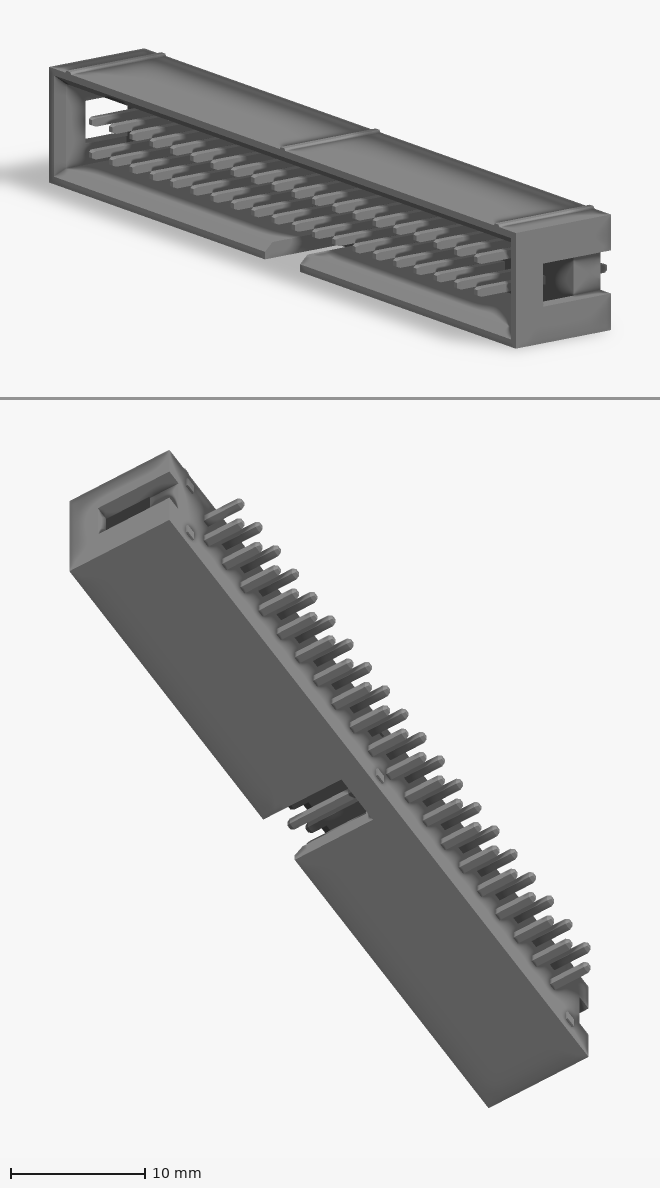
import cadquery as cq
length = 58.4
depth = 8.8
height = 8.95
floor_thickness = 2.5

end_rim = 0.6
end_wall = 1.15
side_rim = 0.6
side_wall = 1.2
lead_in_depth = 0.7

axis_z = 4.5

columns = 20
rows = 2
column_span = 48.25
pitch = column_span / (columns - 1)
pin_size = 0.65
tail_length = 3.3
contact_length = 6.25
tip_length = 0.3
tip_size = 0.4

slot_height = 3.35
slot_depth = 1.3
slot_front = 2.5

key_width = 4.4
key_height = 2.1
key_depth = 6.9

rib_width = 0.7
rib_height = 0.2
rib_chamfer = 0.1
rib_offset = 26.8

foot_size = 0.9
foot_height = 0.2
foot_offset_x = 26.45
foot_offset_z = 3.0


def box(size_x, y_start, y_end, size_z, x, z):
    """Box from y_start to y_end, centred on (x, z)."""
    return cq.Workplane("XY").box(size_x, y_end - y_start, size_z).translate((x, (y_start + y_end) / 2, z))


def make_cavity():
    """Rectangular cavity with a tapered lead-in at its mouth."""
    inner_length = length - 2 * end_wall
    inner_height = 2 * (axis_z - side_wall)
    cavity = box(inner_length, 0, depth - floor_thickness, inner_height, 0, axis_z)
    mouth = (
        cq.Workplane("XZ", origin=(0, 0, axis_z))
        .rect(length - 2 * end_rim, 2 * (axis_z - side_rim))
        .workplane(offset=-lead_in_depth)
        .rect(inner_length, inner_height)
        .loft(ruled=True)
    )
    return cavity.union(mouth)


def make_rib(x):
    """Rib with bevelled upper edges, running the full depth of the top face."""
    half = rib_width / 2
    outline = [
        (x - half, height),
        (x + half, height),
        (x + half - rib_chamfer, height + rib_height),
        (x - half + rib_chamfer, height + rib_height),
    ]
    return cq.Workplane("XZ").polyline(outline).close().extrude(-depth)


def make_pins():
    """Grid of square pins through the floor, each tapered at both ends."""
    front = depth - floor_thickness - contact_length
    back = depth + tail_length
    pin = (
        cq.Workplane("XZ", origin=(0, front, 0))
        .rect(tip_size, tip_size)
        .workplane(offset=-tip_length)
        .rect(pin_size, pin_size)
        .workplane(offset=2 * tip_length - (back - front))
        .rect(pin_size, pin_size)
        .workplane(offset=-tip_length)
        .rect(tip_size, tip_size)
        .loft(ruled=True)
    )
    pins = cq.Workplane("XY")
    for column in range(columns):
        for row in range(rows):
            x = (column - (columns - 1) / 2) * pitch
            z = axis_z + (row - (rows - 1) / 2) * pitch
            pins = pins.add(pin.translate((x, 0, z)))
    return pins.combine()


result = box(length, 0, depth, height, 0, height / 2).cut(make_cavity())

for side in (-1, 1):
    slot_x = side * (length - slot_depth) / 2
    result = result.cut(box(slot_depth, slot_front, depth, slot_height, slot_x, axis_z))

result = result.cut(box(key_width, 0, key_depth, key_height, 0, key_height / 2))

for rib_x in (-rib_offset, 0, rib_offset):
    result = result.union(make_rib(rib_x))

for foot_x in (-foot_offset_x, 0, foot_offset_x):
    for foot_z in (axis_z - foot_offset_z, axis_z + foot_offset_z):
        result = result.union(box(foot_size, depth, depth + foot_height, foot_size, foot_x, foot_z))

result = result.union(make_pins())